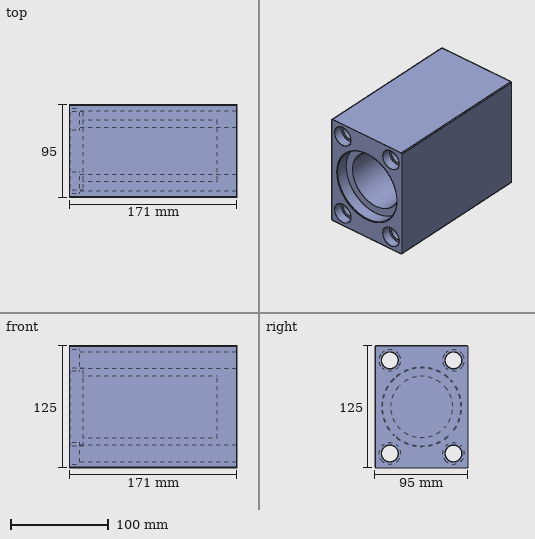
import cadquery as cq

length = 171.0
width = 95.0
height = 125.0
edge_chamfer = 1.0

bore_diameter = 63.0
end_wall = 20.5
recess_diameter = 80.0
recess_depth = 14.0
recess_chamfer = 0.7

bolt_spacing_y = 65.0
bolt_spacing_z = 95.0
bolt_diameter = 17.0
bolt_head_diameter = 22.0
bolt_head_depth = 10.3

bore_depth = length - end_wall
recess_mouth_radius = recess_diameter / 2 + recess_chamfer
bolt_centres = [
    (side_y * bolt_spacing_y / 2, side_z * bolt_spacing_z / 2)
    for side_y in (-1, 1)
    for side_z in (-1, 1)
]


def block():
    """Chamfered block with its -X face on the YZ plane, centred in Y and Z."""
    body = cq.Workplane("YZ").rect(width, height).extrude(length)
    return body.edges("|X").chamfer(edge_chamfer)


def stepped_bore():
    """Solid of revolution about the X axis that clears the bore, recess and mouth chamfer."""
    return (
        cq.Workplane("XY")
        .moveTo(0, 0)
        .lineTo(0, recess_mouth_radius)
        .lineTo(recess_chamfer, recess_diameter / 2)
        .lineTo(recess_depth, recess_diameter / 2)
        .lineTo(recess_depth, bore_diameter / 2)
        .lineTo(bore_depth, bore_diameter / 2)
        .lineTo(bore_depth, 0)
        .close()
        .revolve(360, (0, 0, 0), (1, 0, 0))
    )


def bolt_cylinders(diameter, depth):
    """One cylinder per bolt position, starting at the -X face."""
    return cq.Workplane("YZ").pushPoints(bolt_centres).circle(diameter / 2).extrude(depth)


result = (
    block()
    .cut(stepped_bore())
    .cut(bolt_cylinders(bolt_diameter, length))
    .cut(bolt_cylinders(bolt_head_diameter, bolt_head_depth))
)